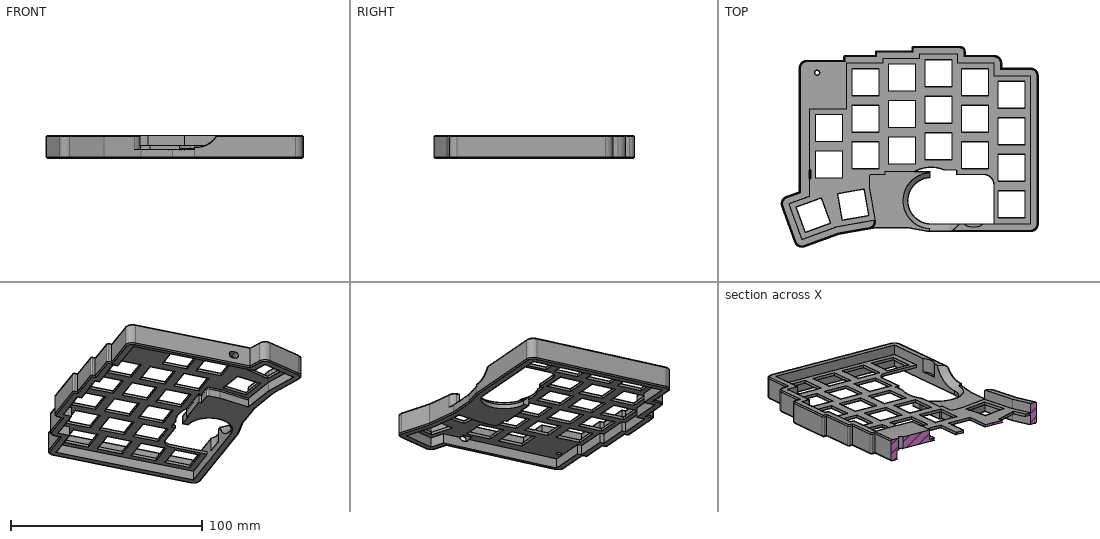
import cadquery as cq
import math

case_height = 12.0
plate_top = 6.7
plate_thickness = 1.5
plate_bottom = plate_top - plate_thickness
platform_top = 4.6

key_pitch = 19.1
key_opening = 14.0
first_column_x = 15.3
columns = [(35.1, 2), (39.9, 3), (42.3, 3), (44.6, 3), (39.9, 3), (14.2, 4)]
thumb_left = (7.1, 8.6, 20)
thumb_right = (28.0, 14.1, 10)

recess_reach = 10.0
wall = 4.0
left_face_x = -0.3
left_wall = 5.4
cavity_left_wall = 2.7
outer_reach = recess_reach + wall
corner_radius = 4.0
small_corner = 1.0
middle_corner = 2.7
edge_chamfer = 0.7

block_top = 89.5
block_right = 23.0
pin_hole_diameter = 2.5
pin_hole_center = (9.1, 83.0)

cable_slot_length = 5.1
cable_slot_height = 3.6
cable_slot_y = 30.0
cable_slot_z = 5.5

ball_x = 68.7
ball_y = 16.1
ball_z = 18.4
ball_radius = 20.2
front_rim_radius = math.sqrt(ball_radius**2 - ball_y**2)
cup_hole_radius = 12.1
plate_clearance_radius = 17.5
arm_end_x = 68.1
bearing_x = 90.8
bearing_y = 10.6
bearing_radius = 8.3

platform_front_y = 2.0
platform_bend_x = 56.3
front_wall_start_x = 67.7
platform_left_x = 36.4
platform_step_x = 44.6
platform_low_y = 29.8
platform_high_y = 31.3
opening_step_x = 82.0
opening_step_y = 32.1
opening_right_x = 101.5
opening_corner_radius = 5.4
wall_end_radius = 3.8
platform_wall = 0.5


def column_x(index):
    return first_column_x + index * key_pitch


def column_top_key(index):
    lowest, count = columns[index]
    return lowest + (count - 1) * key_pitch


def thumb_point(key, dx, dy):
    """Point given in the tilted axes of a thumb key."""
    x, y, tilt = key
    c = math.cos(math.radians(tilt))
    s = math.sin(math.radians(tilt))
    return (x + dx * c - dy * s, y + dx * s + dy * c)


def meet(p, p_tilt, q, q_tilt):
    """Crossing of two lines, each given by a point and a direction in degrees."""
    pc, ps = math.cos(math.radians(p_tilt)), math.sin(math.radians(p_tilt))
    qc, qs = math.cos(math.radians(q_tilt)), math.sin(math.radians(q_tilt))
    along = ((q[0] - p[0]) * qs - (q[1] - p[1]) * qc) / (pc * qs - ps * qc)
    return (p[0] + along * pc, p[1] + along * ps)


def rounded_prism(corners, bottom, top):
    """Prism over a polygon of (point, corner radius) entries."""
    sketch = None
    count = len(corners)
    for i, (point, radius) in enumerate(corners):
        if radius == 0:
            stops = [point]
        else:
            before = corners[i - 1][0]
            after = corners[(i + 1) % count][0]
            to_before = cq.Vector(before[0] - point[0], before[1] - point[1]).normalized()
            to_after = cq.Vector(after[0] - point[0], after[1] - point[1]).normalized()
            half_angle = to_before.getAngle(to_after) / 2
            setback = radius / math.tan(half_angle)
            bulge = radius / math.sin(half_angle) - radius
            vertex = cq.Vector(*point)
            middle = vertex + (to_before + to_after).normalized() * bulge
            ends = [vertex + to_before * setback, vertex + to_after * setback]
            stops = [p.toTuple()[:2] for p in (ends[0], middle, ends[1])]
        if sketch is None:
            sketch = cq.Workplane("XY").workplane(offset=bottom).moveTo(*stops[0])
        else:
            sketch = sketch.lineTo(*stops[0])
        if len(stops) == 3:
            sketch = sketch.threePointArc(stops[1], stops[2])
    return sketch.close().extrude(top - bottom)


def cylinder(x, y, radius, bottom, top):
    base = cq.Workplane("XY").workplane(offset=bottom)
    return base.center(x, y).circle(radius).extrude(top - bottom)


def thumb_chain(reach, left_x):
    """Outline points around the thumb keys, from the main left wall to the bend below."""
    left_tilt, right_tilt = thumb_left[2], thumb_right[2]
    upper_left = thumb_point(thumb_left, -reach, reach)
    lower_left = thumb_point(thumb_left, -reach, -reach)
    start = meet((left_x, 0), 90, upper_left, left_tilt)
    bend = meet(lower_left, left_tilt, thumb_point(thumb_right, 0, -reach), right_tilt)
    return start, upper_left, lower_left, bend


def stepped_top(reach, first, last):
    """Heights of the stepped upper edge for a range of columns, left to right."""
    return [column_top_key(i) + reach for i in range(first, last + 1)]


right_x = column_x(5) + outer_reach
platform_corner = meet(
    thumb_point(thumb_right, 0, -outer_reach), thumb_right[2], (0, platform_front_y), 0
)


def case_body():
    start, upper_left, lower_left, bend = thumb_chain(outer_reach, left_face_x)
    tops = stepped_top(outer_reach, 1, 5)
    step2 = column_x(2) - outer_reach
    step3 = column_x(3) - outer_reach
    step4 = column_x(3) + outer_reach
    step5 = column_x(4) + outer_reach
    return rounded_prism([
        (start, 0), (upper_left, corner_radius), (lower_left, corner_radius), (bend, 0),
        (platform_corner, 0), ((platform_bend_x, platform_front_y), 0),
        ((front_wall_start_x, 0), 0), ((right_x, 0), corner_radius),
        ((right_x, tops[4]), corner_radius), ((step5, tops[4]), 0),
        ((step5, tops[3]), corner_radius), ((step4, tops[3]), 0),
        ((step4, tops[2]), middle_corner), ((step3, tops[2]), small_corner),
        ((step3, tops[1]), 0), ((step2, tops[1]), small_corner),
        ((step2, tops[0]), 0), ((block_right, tops[0]), small_corner),
        ((block_right, block_top), 0), ((left_face_x, block_top), corner_radius),
    ], 0, case_height)


def recess(bottom, top, with_block, left_thickness):
    """Space inside the walls; the block corner is included on request."""
    left_x = left_face_x + left_thickness
    start, upper_left, lower_left, bend = thumb_chain(recess_reach, left_x)
    tops = stepped_top(recess_reach, 1, 5)
    thumb_end = thumb_point(thumb_right, recess_reach, -recess_reach)
    inner_right = right_x - wall
    step1 = column_x(1) - recess_reach
    step2 = column_x(2) - recess_reach
    step3 = column_x(3) - recess_reach
    step4 = column_x(3) + recess_reach
    step5 = column_x(4) + recess_reach
    if with_block:
        corner = [(step1, block_top - wall), (left_x, block_top - wall)]
    else:
        block_bottom = column_top_key(0) + recess_reach
        corner = [(step1, block_bottom), (left_x, block_bottom)]
    points = [
        start, upper_left, lower_left, bend, thumb_end, (thumb_end[0], wall),
        (inner_right, wall), (inner_right, tops[4]), (step5, tops[4]), (step5, tops[3]),
        (step4, tops[3]), (step4, tops[2]), (step3, tops[2]), (step3, tops[1]),
        (step2, tops[1]), (step2, tops[0]), (step1, tops[0]),
    ] + corner
    return rounded_prism([(p, 0) for p in points], bottom, top)


def platform_area(bottom, top, grow=0):
    """Low platform left of the ball, open towards the front."""
    front = -2 * wall
    tilted_foot = meet(
        thumb_point(thumb_right, recess_reach - grow, 0), 90 + thumb_right[2], (0, front), 0
    )
    tilted_head = meet(
        thumb_point(thumb_right, recess_reach - grow, 0), 90 + thumb_right[2],
        (platform_left_x - grow, 0), 90,
    )
    return rounded_prism([
        (tilted_foot, 0), ((front_wall_start_x, front), 0), ((front_wall_start_x, wall), 0),
        ((arm_end_x, wall), 0), ((arm_end_x, platform_high_y + grow), 0),
        ((platform_step_x - grow, platform_high_y + grow), 0),
        ((platform_step_x - grow, platform_low_y + grow), 0),
        ((platform_left_x - grow, platform_low_y + grow), small_corner),
        (tilted_head, 0),
    ], bottom, top)


def ball_opening(bottom, top):
    """Opening around the ball, to the right of the arm."""
    return rounded_prism([
        ((arm_end_x, wall), 0), ((opening_right_x, wall), 0),
        ((opening_right_x, platform_low_y), opening_corner_radius),
        ((opening_step_x, platform_low_y), 0), ((opening_step_x, opening_step_y), 0),
        ((arm_end_x, opening_step_y), 0),
    ], bottom, top)


def key_openings():
    centers = []
    for index, (lowest, count) in enumerate(columns):
        centers += [(column_x(index), lowest + row * key_pitch, 0) for row in range(count)]
    cutter = cq.Workplane("XY")
    for x, y, tilt in centers + [thumb_left, thumb_right]:
        key = cq.Workplane("XY").rect(key_opening, key_opening).extrude(case_height)
        cutter = cutter.add(key.rotate((0, 0, 0), (0, 0, 1), tilt).translate((x, y, 0)))
    return cutter.combine()


def wall_end_corner():
    """Material outside the rounded end of the thumb wall."""
    size = wall_end_radius
    waste = cq.Workplane("XY").box(2 * size, 2 * size, case_height - platform_top, centered=False)
    waste = waste.translate((0, -2 * size, 0)).cut(cylinder(0, 0, size, 0, case_height))
    x, y = thumb_point(thumb_right, recess_reach - size, size - outer_reach)
    return waste.rotate((0, 0, 0), (0, 0, 1), thumb_right[2]).translate((x, y, platform_top))


def ball_clearance():
    """Round clearance in the plate, keeping the platform and the front wall."""
    behind_wall = cq.Workplane("XY").box(right_x, right_x, plate_top, centered=False)
    behind_wall = behind_wall.translate((0, wall, 0))
    clearance = cylinder(ball_x, ball_y, plate_clearance_radius, 0, plate_top)
    return clearance.intersect(behind_wall).cut(platform_area(0, platform_top))


def cable_slot():
    slot = cq.Workplane("YZ").slot2D(cable_slot_length, cable_slot_height).extrude(2 * wall)
    return slot.translate((left_face_x - wall / 2, cable_slot_y, cable_slot_z))


ball = cq.Workplane("XY").sphere(ball_radius).translate((ball_x, ball_y, ball_z))
body = case_body().cut(platform_area(platform_top, case_height)).cut(wall_end_corner())
body = body.faces("<Z or >Z").edges().chamfer(edge_chamfer).cut(ball)
rim_middle_x = (front_wall_start_x + ball_x + front_rim_radius) / 2
front_rim = cq.NearestToPointSelector((rim_middle_x, 0, plate_top))
body = body.edges(front_rim).chamfer(edge_chamfer)

cavity = recess(0, plate_bottom, True, cavity_left_wall)
cavity = cavity.cut(platform_area(0, plate_bottom, platform_wall))
result = body.cut(recess(plate_top, case_height, False, left_wall)).cut(cavity)

result = result.cut(key_openings())
result = result.cut(ball_opening(0, case_height)).cut(ball_clearance())
result = result.cut(cylinder(ball_x, ball_y, cup_hole_radius, 0, case_height))
result = result.cut(cylinder(bearing_x, bearing_y, bearing_radius, platform_top, case_height))
result = result.cut(cylinder(*pin_hole_center, pin_hole_diameter / 2, 0, case_height))
result = result.cut(cable_slot())